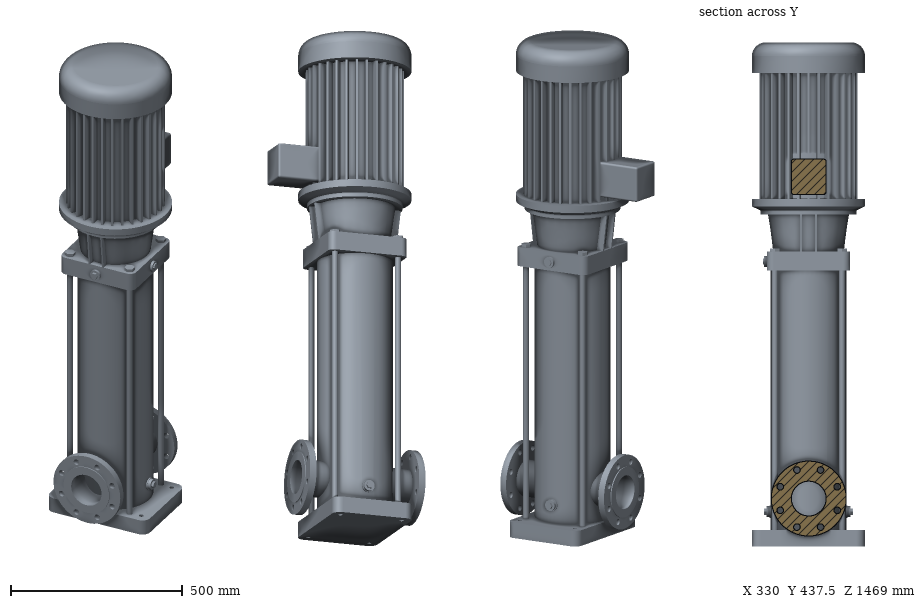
import cadquery as cq


BASE_LENGTH = 330
BASE_WIDTH = 245
BASE_HEIGHT = 47
BASE_CORNER_RADIUS = 25
BASE_HOLE_DIAMETER = 14
BASE_HOLE_X = 135
BASE_HOLE_Y = 95

TUBE_DIAMETER = 221.5
HEAD_BOTTOM = 804
HEAD_TOP = 859
HEAD_WIDTH = 243
HEAD_CORNER_RADIUS = 20

ROD_DIAMETER = 18
ROD_OFFSET = 98
NUT_ACROSS_FLATS = 27
NUT_HEIGHT = 9

PORT_HEIGHT = 140
PORT_FACE_Y = 182.5
PORT_BORE = 100
PIPE_DIAMETER = 108
FLANGE_DIAMETER = 220
FLANGE_THICKNESS = 20
RAISED_FACE_DIAMETER = 150
RAISED_FACE_HEIGHT = 3
BOLT_CIRCLE_DIAMETER = 180
BOLT_HOLE_DIAMETER = 18
BOLT_HOLE_COUNT = 8

PLUG_DIAMETER = 32
PLUG_HEX = 18
HEAD_PLUG_HEIGHT = 830
HEAD_PLUG_COLLAR = 7.5
FRONT_PLUG_HEX_HEIGHT = 8
SIDE_PLUG_HEX_HEIGHT = 4
TUBE_PLUG_HEIGHT = 101
TUBE_PLUG_BOSS_DIAMETER = 36
TUBE_PLUG_BOSS_REACH = 114
TUBE_PLUG_COLLAR = 9
TUBE_PLUG_HEX_HEIGHT = 7

LANTERN_TOP = 967
LANTERN_BOTTOM_DIAMETER = 206
LANTERN_TOP_DIAMETER = 236
RIB_SPACING = 44
RIB_THICKNESS = 5
RIB_TOP_REACH = 134
RIB_BOTTOM_REACH = HEAD_WIDTH / 2
RIB_ROOT_REACH = 60

MOTOR_DIAMETER = 330
SPIGOT_DIAMETER = 280
SPIGOT_HEIGHT = 12
SPIGOT_TAPER_HEIGHT = 12
MOTOR_FLANGE_TOP = 1012
FIN_TOP = 1380
FIN_COUNT = 30
FIN_THICKNESS = 6.5
FIN_DIAMETER = 288
MOTOR_CORE_DIAMETER = 240
CAP_TOP = 1469
CAP_ROUNDING = 40

BOX_INNER_Y = 60
BOX_WIDTH = 101
BOX_BOTTOM = 1026
BOX_TOP = 1130
BOX_FACE_Y = 255
BOX_EDGE_RADIUS = 6


def cylinder(diameter, bottom, top):
    """Upright cylinder on the pump axis."""
    return cq.Workplane("XY").workplane(offset=bottom).circle(diameter / 2).extrude(top - bottom)


def rounded_plate(length, width, corner_radius, bottom, top):
    """Flat plate with rounded vertical corners, centred on the pump axis."""
    plate = cq.Workplane("XY").workplane(offset=bottom).rect(length, width).extrude(top - bottom)
    return plate.edges("|Z").fillet(corner_radius)


def make_base():
    plate = rounded_plate(BASE_LENGTH, BASE_WIDTH, BASE_CORNER_RADIUS, 0, BASE_HEIGHT)
    corners = plate.faces(">Z").workplane().rect(2 * BASE_HOLE_X, 2 * BASE_HOLE_Y, forConstruction=True)
    return corners.vertices().hole(BASE_HOLE_DIAMETER)


def make_tie_rods():
    """Four rods from the base to the head, with hexagon nuts on top of the head."""
    rods = (
        cq.Workplane("XY")
        .workplane(offset=BASE_HEIGHT)
        .rect(2 * ROD_OFFSET, 2 * ROD_OFFSET, forConstruction=True)
        .vertices()
        .circle(ROD_DIAMETER / 2)
        .extrude(HEAD_TOP - BASE_HEIGHT)
    )
    nuts = (
        cq.Workplane("XY")
        .workplane(offset=HEAD_TOP)
        .rect(2 * ROD_OFFSET, 2 * ROD_OFFSET, forConstruction=True)
        .vertices()
        .polygon(6, NUT_ACROSS_FLATS, circumscribed=True)
        .extrude(NUT_HEIGHT)
    )
    return rods.union(nuts)


def make_port():
    """Port on the -Y side: pipe stub, drilled flange and raised face, bored up to the tube wall."""
    flange_face = PORT_FACE_Y - RAISED_FACE_HEIGHT
    first_bolt_angle = 180 / BOLT_HOLE_COUNT

    def disc(diameter, start, end):
        plane = cq.Workplane("XZ", origin=(0, 0, PORT_HEIGHT)).workplane(offset=start)
        return plane.circle(diameter / 2).extrude(end - start)

    flange = disc(FLANGE_DIAMETER, flange_face - FLANGE_THICKNESS, flange_face)
    flange = (
        flange.faces("<Y")
        .workplane(origin=(0, 0, PORT_HEIGHT))
        .polarArray(BOLT_CIRCLE_DIAMETER / 2, first_bolt_angle, 360, BOLT_HOLE_COUNT)
        .hole(BOLT_HOLE_DIAMETER)
    )
    port = flange.union(disc(PIPE_DIAMETER, 0, flange_face))
    port = port.union(disc(RAISED_FACE_DIAMETER, flange_face, PORT_FACE_Y))
    bore = disc(PORT_BORE, 0, PORT_FACE_Y)
    return port.cut(bore)


def make_plug(direction, height, seat, collar_end, hex_end, boss_end=0):
    """Screw plug along a horizontal direction: optional boss, round collar and hexagon."""
    plane = cq.Workplane(cq.Plane(origin=(0, 0, height), xDir=(0, 0, 1), normal=direction))
    start = plane.workplane(offset=seat)
    plug = start.circle(PLUG_DIAMETER / 2).extrude(collar_end - seat)
    hexagon = start.polygon(6, PLUG_HEX, circumscribed=True).extrude(hex_end - seat)
    plug = plug.union(hexagon)
    if boss_end:
        plug = plug.union(start.circle(TUBE_PLUG_BOSS_DIAMETER / 2).extrude(boss_end - seat))
    return plug


def make_plugs():
    """Vent plugs on the head's -Y and +X faces, drain plugs on both X sides of the tube."""
    head_face = HEAD_WIDTH / 2
    collar_end = head_face + HEAD_PLUG_COLLAR
    front = make_plug(
        (0, -1, 0), HEAD_PLUG_HEIGHT, ROD_OFFSET, collar_end, collar_end + FRONT_PLUG_HEX_HEIGHT
    )
    side = make_plug(
        (1, 0, 0), HEAD_PLUG_HEIGHT, ROD_OFFSET, collar_end, collar_end + SIDE_PLUG_HEX_HEIGHT
    )
    plugs = front.union(side)
    drain_collar_end = TUBE_PLUG_BOSS_REACH + TUBE_PLUG_COLLAR
    for sign in (-1, 1):
        drain = make_plug(
            (sign, 0, 0),
            TUBE_PLUG_HEIGHT,
            ROD_OFFSET,
            drain_collar_end,
            drain_collar_end + TUBE_PLUG_HEX_HEIGHT,
            TUBE_PLUG_BOSS_REACH,
        )
        plugs = plugs.union(drain)
    return plugs


def make_lantern():
    """Conical lantern with a pair of thin ribs on its -Y and +Y sides."""
    cone = (
        cq.Workplane("XZ")
        .moveTo(0, HEAD_TOP)
        .lineTo(LANTERN_BOTTOM_DIAMETER / 2, HEAD_TOP)
        .lineTo(LANTERN_TOP_DIAMETER / 2, LANTERN_TOP)
        .lineTo(0, LANTERN_TOP)
        .close()
        .revolve()
    )
    for sign in (-1, 1):
        for x in (-RIB_SPACING / 2, RIB_SPACING / 2):
            rib = (
                cq.Workplane("YZ", origin=(x, 0, 0))
                .moveTo(sign * RIB_ROOT_REACH, HEAD_TOP)
                .lineTo(sign * RIB_BOTTOM_REACH, HEAD_TOP)
                .lineTo(sign * RIB_TOP_REACH, LANTERN_TOP)
                .lineTo(sign * RIB_ROOT_REACH, LANTERN_TOP)
                .close()
                .extrude(RIB_THICKNESS / 2, both=True)
            )
            cone = cone.union(rib)
    return cone


def make_motor():
    """Motor flange with tapered spigot, finned body and rounded fan cap."""
    spigot_top = LANTERN_TOP + SPIGOT_HEIGHT
    flange = (
        cq.Workplane("XZ")
        .moveTo(0, LANTERN_TOP)
        .lineTo(SPIGOT_DIAMETER / 2, LANTERN_TOP)
        .lineTo(SPIGOT_DIAMETER / 2, spigot_top)
        .lineTo(MOTOR_DIAMETER / 2, spigot_top + SPIGOT_TAPER_HEIGHT)
        .lineTo(MOTOR_DIAMETER / 2, MOTOR_FLANGE_TOP)
        .lineTo(0, MOTOR_FLANGE_TOP)
        .close()
        .revolve()
    )
    cap = cylinder(MOTOR_DIAMETER, FIN_TOP, CAP_TOP).faces(">Z").edges().fillet(CAP_ROUNDING)
    body = cylinder(MOTOR_CORE_DIAMETER, MOTOR_FLANGE_TOP, FIN_TOP)

    fin_tips = cylinder(FIN_DIAMETER, MOTOR_FLANGE_TOP, FIN_TOP)
    for index in range(FIN_COUNT // 2):
        angle = 90 + index * 360 / FIN_COUNT
        bar = (
            cq.Workplane("XY")
            .workplane(offset=MOTOR_FLANGE_TOP)
            .rect(MOTOR_DIAMETER, FIN_THICKNESS)
            .extrude(FIN_TOP - MOTOR_FLANGE_TOP)
            .rotate((0, 0, 0), (0, 0, 1), angle)
        )
        body = body.union(bar.intersect(fin_tips))
    return flange.union(body).union(cap)


def make_terminal_box():
    """Terminal box on the +Y side of the motor, rounded along Y and around its outer face."""
    box = (
        cq.Workplane("XY", origin=(0, (BOX_INNER_Y + BOX_FACE_Y) / 2, BOX_BOTTOM))
        .rect(BOX_WIDTH, BOX_FACE_Y - BOX_INNER_Y)
        .extrude(BOX_TOP - BOX_BOTTOM)
    )
    return box.edges("|Y or >Y").fillet(BOX_EDGE_RADIUS)


front_port = make_port()
back_port = front_port.mirror("XZ")

result = (
    make_base()
    .union(front_port)
    .union(back_port)
    .union(cylinder(TUBE_DIAMETER, BASE_HEIGHT, HEAD_BOTTOM))
    .union(rounded_plate(HEAD_WIDTH, HEAD_WIDTH, HEAD_CORNER_RADIUS, HEAD_BOTTOM, HEAD_TOP))
    .union(make_tie_rods())
    .union(make_plugs())
    .union(make_lantern())
    .union(make_motor())
    .union(make_terminal_box())
)